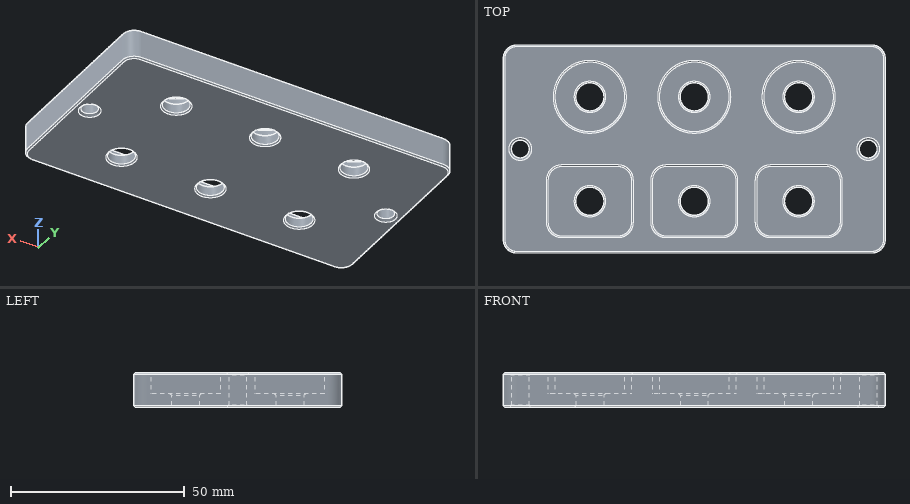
import cadquery as cq

length = 110.0
width = 60.0
thickness = 10.0
corner_radius = 4.0
edge_chamfer = 0.5

pitch = 30.0
recess_depth = 6.0
round_recess_diameter = 20.0
pocket_length = 24.0
pocket_width = round_recess_diameter
pocket_corner_radius = corner_radius

through_hole_diameter = 8.0
mounting_hole_diameter = 5.1
mounting_hole_x = 50.0
mounting_hole_chamfer = 0.75
countersink_angle = 90

column_xs = [-pitch, 0, pitch]
round_recess_centers = [(x, pitch / 2) for x in column_xs]
pocket_centers = [(x, -pitch / 2) for x in column_xs]
mounting_hole_centers = [(-mounting_hole_x, 0), (mounting_hole_x, 0)]
floor_z = thickness - recess_depth


def rounded_block(block_length, block_width, height, radius):
    """Block standing on Z = 0 with rounded vertical edges."""
    block = cq.Workplane("XY").box(block_length, block_width, height, centered=(True, True, False))
    return block.edges("|Z").fillet(radius)


def cut_recesses(body):
    """Sink the round recesses and the rectangular pockets into the top face."""
    round_recesses = (
        cq.Workplane("XY")
        .workplane(offset=floor_z)
        .pushPoints(round_recess_centers)
        .circle(round_recess_diameter / 2)
        .extrude(recess_depth)
    )
    body = body.cut(round_recesses)
    pocket = rounded_block(pocket_length, pocket_width, recess_depth, pocket_corner_radius)
    for x, y in pocket_centers:
        body = body.cut(pocket.translate((x, y, floor_z)))
    return body


def cut_floor_holes(body):
    """Drill a hole through each recess floor, chamfered at the floor."""
    mouth_diameter = through_hole_diameter + 2 * edge_chamfer
    return (
        body.copyWorkplane(cq.Workplane("XY", origin=(0, 0, floor_z)))
        .pushPoints(round_recess_centers + pocket_centers)
        .cskHole(through_hole_diameter, mouth_diameter, countersink_angle)
    )


def cut_mounting_holes(body):
    """Drill the mounting holes near the two short ends and chamfer both of their mouths."""
    body = (
        body.copyWorkplane(cq.Workplane("XY", origin=(0, 0, thickness)))
        .pushPoints(mounting_hole_centers)
        .hole(mounting_hole_diameter)
    )
    smallest_circles = cq.selectors.RadiusNthSelector(0)
    return body.faces("<Z or >Z").edges(smallest_circles).chamfer(mounting_hole_chamfer)


plate = rounded_block(length, width, thickness, corner_radius)
plate = cut_recesses(plate)
plate = cut_floor_holes(plate)

plate = plate.faces("<Z or >Z").edges().chamfer(edge_chamfer)

result = cut_mounting_holes(plate)